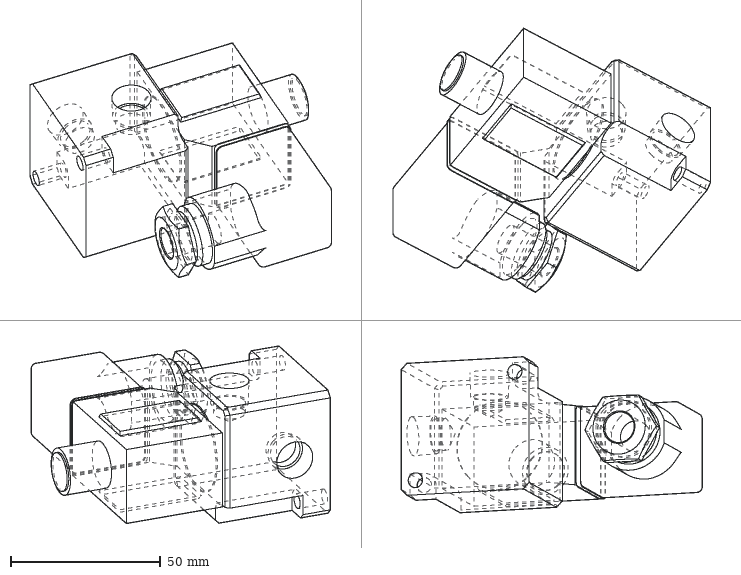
import cadquery as cq
import math


BLOCK_WIDTH = 45.0
BLOCK_LENGTH = 38.1
BLOCK_CORNER_CHAMFER = 2.1
BLOCK_TOP_CHAMFER = 1.25

MOUNT_HOLE_DIA = 5.0
MOUNT_HOLE_EDGE = 5.0
MOUNT_POS = BLOCK_WIDTH / 2 - MOUNT_HOLE_EDGE
NOTCH_FLOOR = 10.0
NOTCH_RADIUS = 4.0

PORT_MOUTH_DIA = 13.2
PORT_TAPER = 1 / 16
PORT_DEPTH = 8.0
PORT_DRILL_DIA = 10.8
PORT_DRILL_DEPTH = 11.6
DRILL_TIP_ANGLE = 118
PORT_P_Y = 27.1
PORT_R_Y = 13.1

COLLAR_DIA = 30.1
COLLAR_HEIGHT = 0.5

COIL_X_MIN = -20.4
COIL_X_MAX = 24.25
COIL_Y_MIN = BLOCK_LENGTH + COLLAR_HEIGHT
COIL_Y_MAX = 73.8
COIL_THICKNESS = 27.0
COIL_BEVEL = 7.0

PANEL_WIDTH = 17.5
PANEL_Y_MIN = 41.3
PANEL_Y_MAX = 71.1
PANEL_HEIGHT = 1.25
PANEL_SLOPE_RUN = 0.7
PANEL_END_RUN = 0.4

STEM_DIA = 16.1
STEM_TOP = 88.9
STEM_CAP_DIA = 13.25
OVERALL_LENGTH = 89.5

PLUG_X_MAX = 60.6
PLUG_SIZE = COIL_THICKNESS
PLUG_RADIUS = 2.1
FLANGE_THICKNESS = 1.5
FLANGE_LIP = 0.3

SPOUT_RADIUS = 12.6
SPOUT_HALF_WIDTH = 12.0
SPOUT_END = 29.8
GLAND_X = PLUG_X_MAX - SPOUT_HALF_WIDTH
NECK_DIA = 21.0
NECK_END = 26.2
GROOVE_DIA = 18.3
GROOVE_START = 24.9
NUT_START = 22.8
NUT_END = 17.6
NUT_CORNER_DIA = 25.15
NUT_FACE_DIA = 18.4
NUT_CHAMFER_SLOPE = 0.5
CABLE_HOLE_DIA = 10.4
CABLE_HOLE_CHAMFER = 0.4
CABLE_HOLE_DEPTH = 17.9


def cylinder_y(x, y_start, y_end, diameter):
    """Cylinder with its axis along Y, centred on Z = 0."""
    return (
        cq.Workplane("XZ", origin=(x, y_start, 0))
        .circle(diameter / 2)
        .extrude(y_start - y_end)
    )


def revolve_y(x, profile):
    """Turn (radius, y) points about the axis parallel to Y at the given X."""
    return (
        cq.Workplane("XY", origin=(x, 0, 0))
        .polyline(profile)
        .close()
        .revolve(360, (0, 0, 0), (0, 1, 0))
    )


def port_cutter():
    """Tapered port with a drilled end, along -Z with its mouth on the plane Z = 0."""
    mouth_radius = PORT_MOUTH_DIA / 2
    bore_end_radius = mouth_radius - PORT_DEPTH * PORT_TAPER / 2
    drill_radius = PORT_DRILL_DIA / 2
    tip_length = drill_radius / math.tan(math.radians(DRILL_TIP_ANGLE / 2))
    profile = [
        (0, 0),
        (mouth_radius, 0),
        (bore_end_radius, -PORT_DEPTH),
        (drill_radius, -PORT_DEPTH),
        (drill_radius, -PORT_DRILL_DEPTH),
        (0, -PORT_DRILL_DEPTH - tip_length),
    ]
    return cq.Workplane("XZ").polyline(profile).close().revolve(360, (0, 0, 0), (0, 1, 0))


def make_block():
    half = BLOCK_WIDTH / 2
    block = (
        cq.Workplane("XZ")
        .rect(BLOCK_WIDTH, BLOCK_WIDTH)
        .extrude(-BLOCK_LENGTH)
        .edges("|Y")
        .chamfer(BLOCK_CORNER_CHAMFER)
        .faces(">Y")
        .chamfer(BLOCK_TOP_CHAMFER)
    )

    notch_edge = MOUNT_POS - NOTCH_RADIUS
    notch_size = half - notch_edge
    notch_centre = (half + notch_edge) / 2
    for side in (1, -1):
        notch = (
            cq.Workplane("XZ", origin=(side * notch_centre, NOTCH_FLOOR, side * notch_centre))
            .rect(notch_size, notch_size)
            .extrude(NOTCH_FLOOR - BLOCK_LENGTH)
            .edges("|Y")
            .edges("<X and <Z" if side > 0 else ">X and >Z")
            .fillet(NOTCH_RADIUS)
        )
        hole = cylinder_y(side * MOUNT_POS, 0, NOTCH_FLOOR, MOUNT_HOLE_DIA)
        hole = hole.translate((0, 0, side * MOUNT_POS))
        block = block.cut(notch).cut(hole)

    port_p = port_cutter().translate((0, PORT_P_Y, half))
    port_r = port_cutter().rotate((0, 0, 0), (0, 1, 0), -90).translate((-half, PORT_R_Y, 0))
    return block.cut(port_p).cut(port_r)


def make_panel():
    """Raised panel with sloping walls on the +Z side of the coil."""
    base_x = PANEL_WIDTH / 2
    top_x = base_x - PANEL_SLOPE_RUN
    y_centre = (PANEL_Y_MIN + PANEL_Y_MAX) / 2
    top_y_min = PANEL_Y_MIN + PANEL_SLOPE_RUN
    top_y_max = PANEL_Y_MAX - PANEL_END_RUN
    return (
        cq.Workplane("XY", origin=(0, y_centre, COIL_THICKNESS / 2))
        .rect(PANEL_WIDTH, PANEL_Y_MAX - PANEL_Y_MIN)
        .workplane(offset=PANEL_HEIGHT)
        .center(0, (top_y_min + top_y_max) / 2 - y_centre)
        .rect(2 * top_x, top_y_max - top_y_min)
        .loft(ruled=True)
    )


def make_coil_housing():
    outline = [
        (COIL_X_MIN, COIL_Y_MIN),
        (COIL_X_MAX - COIL_BEVEL, COIL_Y_MIN),
        (COIL_X_MAX, COIL_Y_MIN + COIL_BEVEL),
        (COIL_X_MAX, COIL_Y_MAX),
        (COIL_X_MIN, COIL_Y_MAX),
    ]
    housing = (
        cq.Workplane("XY")
        .polyline(outline)
        .close()
        .extrude(COIL_THICKNESS / 2, both=True)
    )
    panel = make_panel()
    collar = cylinder_y(0, BLOCK_LENGTH, COIL_Y_MIN, COLLAR_DIA)
    stem = cylinder_y(0, COIL_Y_MAX, STEM_TOP, STEM_DIA)
    cap = cylinder_y(0, STEM_TOP, OVERALL_LENGTH, STEM_CAP_DIA)
    return housing.union(panel).union(panel.mirror("XY")).union(collar).union(stem).union(cap)


def make_plug():
    y_centre = COIL_Y_MAX - PLUG_SIZE / 2
    flange_size = PLUG_SIZE + 2 * FLANGE_LIP
    section = cq.Workplane("YZ", origin=(COIL_X_MAX, y_centre, 0))
    flange = section.rect(flange_size, flange_size).extrude(FLANGE_THICKNESS)
    flange = flange.edges("|X").fillet(PLUG_RADIUS)
    box = section.rect(PLUG_SIZE, PLUG_SIZE).extrude(PLUG_X_MAX - COIL_X_MAX)
    box = box.edges("|X or >X").fillet(PLUG_RADIUS)
    return flange.union(box)


def make_nut():
    """Hexagonal nut whose free end is coned down to a round face."""
    hexagon = (
        cq.Workplane("XZ", origin=(GLAND_X, NUT_START, 0))
        .polygon(6, NUT_CORNER_DIA)
        .extrude(NUT_START - NUT_END)
    )
    face_radius = NUT_FACE_DIA / 2
    cone_height = NUT_START - NUT_END
    envelope = [
        (0, NUT_END),
        (face_radius, NUT_END),
        (face_radius + cone_height / NUT_CHAMFER_SLOPE, NUT_START),
        (0, NUT_START),
    ]
    return hexagon.intersect(revolve_y(GLAND_X, envelope))


def make_gland():
    spout_start = COIL_Y_MAX - PLUG_SIZE / 2
    spout_length = spout_start - SPOUT_END
    spout = cylinder_y(GLAND_X, SPOUT_END, spout_start, 2 * SPOUT_RADIUS)
    flats = cq.Workplane("XY").box(2 * SPOUT_HALF_WIDTH, spout_length, 2 * SPOUT_RADIUS)
    spout = spout.intersect(flats.translate((GLAND_X, (SPOUT_END + spout_start) / 2, 0)))

    neck = revolve_y(GLAND_X, [
        (0, SPOUT_END),
        (NECK_DIA / 2, SPOUT_END),
        (NECK_DIA / 2, NECK_END),
        (GROOVE_DIA / 2, GROOVE_START),
        (GROOVE_DIA / 2, NUT_START),
        (0, NUT_START),
    ])
    return spout.union(neck).union(make_nut())


def cable_hole():
    radius = CABLE_HOLE_DIA / 2
    return revolve_y(GLAND_X, [
        (0, NUT_END),
        (radius + CABLE_HOLE_CHAMFER, NUT_END),
        (radius, NUT_END + CABLE_HOLE_CHAMFER),
        (radius, NUT_END + CABLE_HOLE_DEPTH),
        (0, NUT_END + CABLE_HOLE_DEPTH),
    ])


def make_coil():
    return make_coil_housing().union(make_plug()).union(make_gland()).cut(cable_hole())


block = make_block()
coil = make_coil()

result = cq.Compound.makeCompound([block.val(), coil.val()])